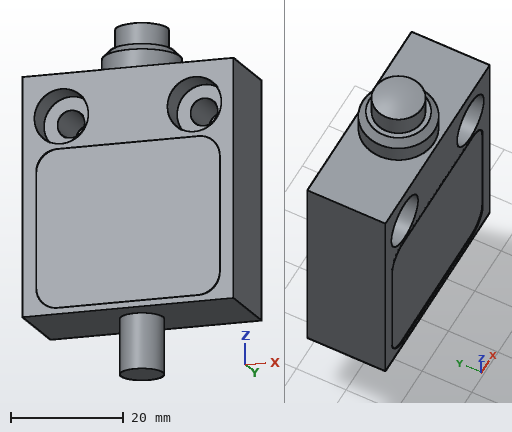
import cadquery as cq

body_width = 39.6
body_depth = 15.75
body_height = 44.4
front_y = -body_depth / 2

hole_diameter = 5.1
counterbore_diameter = 10.1
counterbore_depth = 5.4
hole_spacing = 25.0
hole_drop = 7.95
hole_z = body_height - hole_drop

panel_width = 34.45
panel_height = 29.35
panel_bottom = 1.15
panel_corner_radius = 4.0
panel_depth = 0.2

collar_diameter = 14.3
collar_height = 4.85
collar_chamfer = 1.35
button_diameter = 9.6
button_top = 9.9
dome_height = 0.9

cable_diameter = 7.95
total_height = 64.5
cable_length = total_height - body_height - button_top


def front_cylinder(x, diameter, depth):
    """Cylinder running from the front face into the body at hole height."""
    return cq.Workplane("XZ", origin=(x, front_y, hole_z)).circle(diameter / 2).extrude(-depth)


def make_body():
    body = cq.Workplane("XY").box(body_width, body_depth, body_height, centered=(True, True, False))
    for x in (-hole_spacing / 2, hole_spacing / 2):
        body = body.cut(front_cylinder(x, hole_diameter, body_depth))
        body = body.cut(front_cylinder(x, counterbore_diameter, counterbore_depth))
    panel = (
        cq.Workplane("XZ", origin=(0, front_y, panel_bottom + panel_height / 2))
        .rect(panel_width, panel_height)
        .extrude(-panel_depth)
        .edges("|Y")
        .fillet(panel_corner_radius)
    )
    return body.cut(panel)


def make_collar():
    return (
        cq.Workplane("XY", origin=(0, 0, body_height))
        .circle(collar_diameter / 2)
        .extrude(collar_height)
        .faces(">Z")
        .chamfer(collar_chamfer)
    )


def make_button():
    """Revolved plunger whose top is a shallow spherical dome."""
    radius = button_diameter / 2
    dome_radius = (radius**2 + dome_height**2) / (2 * dome_height)
    dome_centre = button_top - dome_radius
    middle_x = radius / 2
    middle_z = dome_centre + (dome_radius**2 - middle_x**2) ** 0.5
    return (
        cq.Workplane("XZ", origin=(0, 0, body_height))
        .lineTo(radius, 0)
        .lineTo(radius, button_top - dome_height)
        .threePointArc((middle_x, middle_z), (0, button_top))
        .close()
        .revolve(360, (0, 0), (0, 1))
    )


def make_cable():
    return cq.Workplane("XY").circle(cable_diameter / 2).extrude(-cable_length)


result = make_body().union(make_collar()).union(make_button()).union(make_cable())